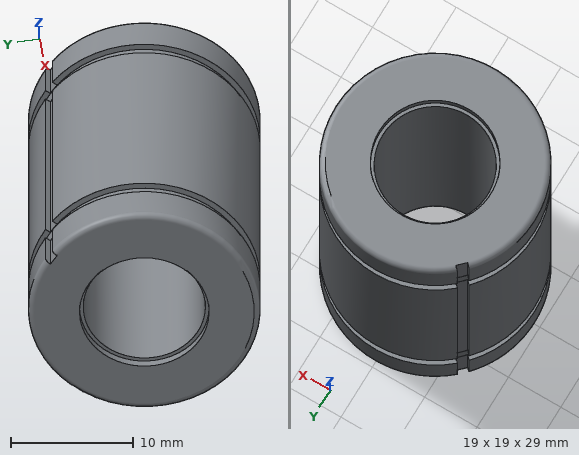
import cadquery as cq

length = 29.0
outer_diameter = 19.0
edge_radius = 0.5
bore_diameter = 10.0

counterbore_diameter = 10.6
counterbore_depth = 0.75

groove_diameter = 18.0
groove_width = 1.25
groove_offset = 3.5

slot_width = 1.0
slot_depth = 0.5
slot_angle = 135.0


def make_sleeve():
    body = cq.Workplane("XY").circle(outer_diameter / 2).extrude(length)
    return body.edges().fillet(edge_radius)


def make_bore():
    bore = cq.Workplane("XY").circle(bore_diameter / 2).extrude(length)
    for bottom in (0, length - counterbore_depth):
        counterbore = (
            cq.Workplane("XY", origin=(0, 0, bottom))
            .circle(counterbore_diameter / 2)
            .extrude(counterbore_depth)
        )
        bore = bore.union(counterbore)
    return bore


def make_ring_groove(bottom):
    return (
        cq.Workplane("XY", origin=(0, 0, bottom))
        .circle(outer_diameter / 2 + slot_depth)
        .circle(groove_diameter / 2)
        .extrude(groove_width)
    )


def make_slot():
    return (
        cq.Workplane("XY")
        .center(outer_diameter / 2, 0)
        .rect(2 * slot_depth, slot_width)
        .extrude(length)
        .rotate((0, 0, 0), (0, 0, 1), slot_angle)
    )


result = make_sleeve().cut(make_bore())
for groove_bottom in (groove_offset, length - groove_offset - groove_width):
    result = result.cut(make_ring_groove(groove_bottom))
result = result.cut(make_slot())